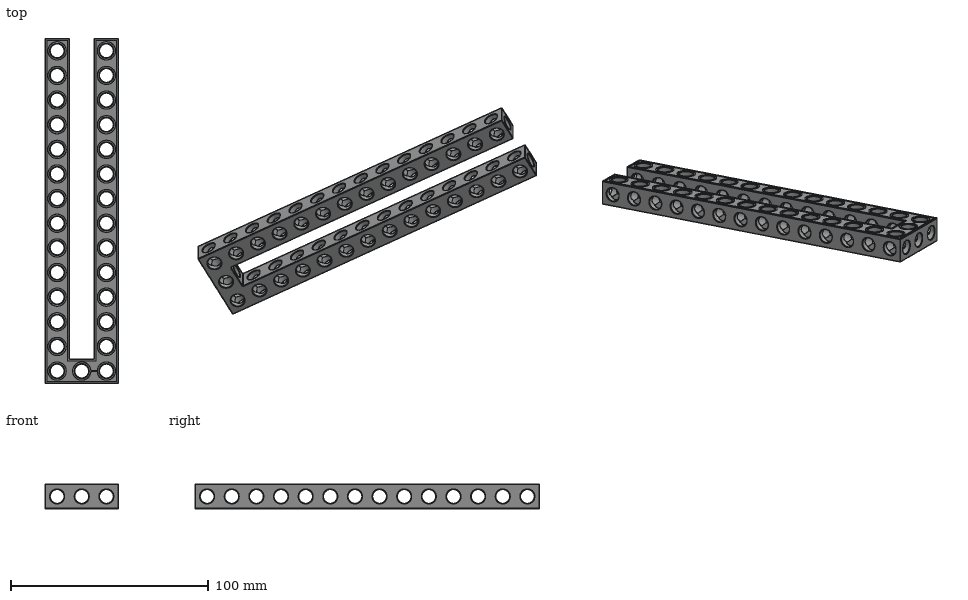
import cadquery as cq

length = 175.0
rows = 14
columns = 3
hole_diameter = 7.0
collar_diameter = 9.3
rim_width = 1.0
recess_depth = 0.2
edge_chamfer = 0.32
rib_width = 0.5

pitch = length / rows
width = columns * pitch
thickness = pitch
slot_length = length - pitch
row_positions = [(row - (rows - 1) / 2) * pitch for row in range(rows)]
column_positions = [(column - (columns - 1) / 2) * pitch for column in range(columns)]

arm_columns = (column_positions[0], column_positions[-1])
grid_points = [(x, row_positions[0]) for x in column_positions]
grid_points += [(x, y) for y in row_positions[1:] for x in arm_columns]


def u_shape(inset, height):
    """U-shaped plate with its slot open toward +Y, shrunk inward by inset on every side."""
    plate = cq.Workplane("XY").box(width - 2 * inset, length - 2 * inset, height)
    slot = (
        cq.Workplane("XY")
        .box(pitch + 2 * inset, slot_length + inset, height)
        .translate((0, (length - slot_length - inset) / 2, 0))
    )
    return plate.cut(slot)


def cylinders(plane, points, diameter, depth):
    """Cylinders centred on the given plane."""
    return cq.Workplane(plane).pushPoints(points).circle(diameter / 2).extrude(depth / 2, both=True)


def top_recess():
    """Shallow recess that leaves a rim along the outline and a collar round each hole.

    A thin rib joins the collars of the middle and right holes of the first row.
    """
    recess = u_shape(rim_width, recess_depth)
    collars = cylinders("XY", grid_points, collar_diameter, thickness)
    rib = cq.Workplane("XY").box(pitch, rib_width, recess_depth).translate((pitch / 2, row_positions[0], 0))
    return recess.cut(collars).cut(rib)


def drilled(body):
    """Body with crossing through holes along Z, X and Y, bevelled at every mouth."""
    body = body.cut(cylinders("XY", grid_points, hole_diameter, thickness))
    body = body.cut(cylinders("YZ", [(y, 0) for y in row_positions], hole_diameter, width))
    body = body.cut(cylinders("XZ", [(x, 0) for x in column_positions], hole_diameter, length))
    return body.edges("%CIRCLE").chamfer(edge_chamfer)


result = drilled(u_shape(0, thickness).edges().chamfer(edge_chamfer))
recess_height = (thickness - recess_depth) / 2
result = result.cut(top_recess().translate((0, 0, recess_height)))